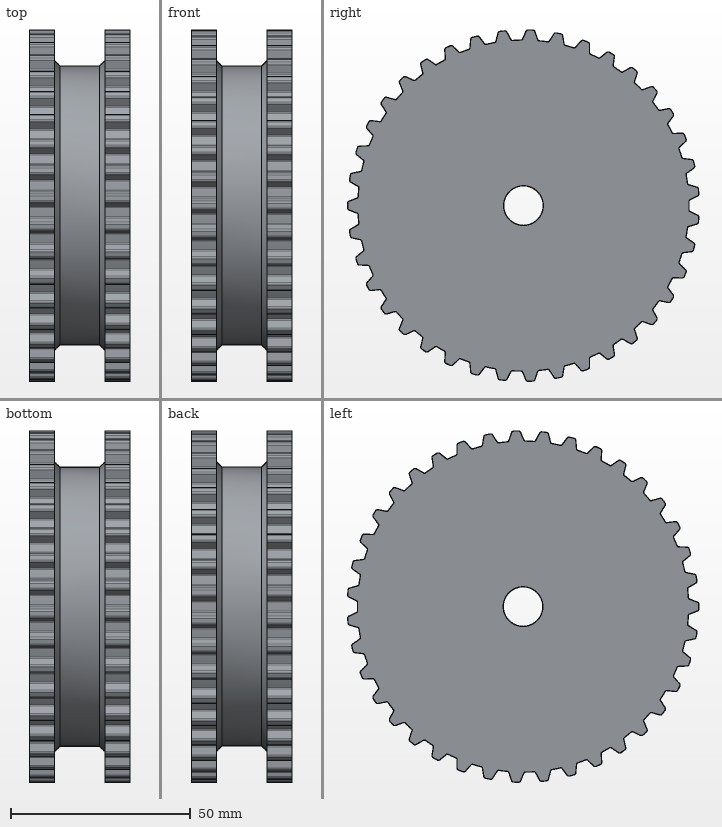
import cadquery as cq
import math

tooth_count = 39
tip_radius = 48.95
tooth_height = 2.8
mid_tooth_width = 3.3
groove_angle = 52.0
tip_fillet = 0.7
root_fillet = 0.4

total_width = 28.0
hub_radius = 38.9
hub_flare = 1.5
bore_diameter = 11.0

rim_width = total_width / 4
gap_width = total_width - 2 * rim_width
root_radius = tip_radius - tooth_height
pitch_angle = 360 / tooth_count
flank_angle = math.radians((groove_angle - pitch_angle) / 2)
flank_slope = math.tan(flank_angle)
first_tooth_angle = 180.0


def tooth_half_width(radius):
    """Half the width of a sharp-cornered tooth at a distance from the axis."""
    mid_radius = tip_radius - tooth_height / 2
    return mid_tooth_width / 2 + (mid_radius - radius) * flank_slope


def flank_point(radius, tooth_angle, side):
    """Corner of a tooth on the given radius; side is -1 or +1."""
    angle = math.radians(tooth_angle) + side * math.asin(tooth_half_width(radius) / radius)
    return (radius * math.cos(angle), radius * math.sin(angle))


def arc_point(radius, angle):
    """Point on a circle about the axis, with the angle in degrees."""
    return (radius * math.cos(math.radians(angle)), radius * math.sin(math.radians(angle)))


def edges_on_radius(body, radius):
    """Edges along X whose distance from the axis is the given radius."""
    tolerance = 0.01
    return [
        edge for edge in body.edges("|X").vals()
        if abs(math.hypot(edge.Center().y, edge.Center().z) - radius) < tolerance
    ]


def toothed_rim():
    """One toothed disc, starting at X = 0 and running toward +X."""
    outline = cq.Workplane("YZ").moveTo(*flank_point(root_radius, first_tooth_angle, -1))
    for index in range(tooth_count):
        angle = first_tooth_angle + index * pitch_angle
        next_angle = angle + pitch_angle
        outline = (
            outline
            .lineTo(*flank_point(tip_radius, angle, -1))
            .threePointArc(arc_point(tip_radius, angle), flank_point(tip_radius, angle, 1))
            .lineTo(*flank_point(root_radius, angle, 1))
            .threePointArc(
                arc_point(root_radius, angle + pitch_angle / 2),
                flank_point(root_radius, next_angle, -1),
            )
        )
    rim = outline.close().extrude(rim_width)
    rim = rim.newObject(edges_on_radius(rim, tip_radius)).fillet(tip_fillet)
    return rim.newObject(edges_on_radius(rim, root_radius)).fillet(root_fillet)


def hub():
    """Drum between the rims, flared by a 45 degree cone at each end."""
    half_gap = gap_width / 2
    flare_radius = hub_radius + hub_flare
    half_profile = [
        (-half_gap, 0),
        (-half_gap, flare_radius),
        (-half_gap + hub_flare, hub_radius),
        (half_gap - hub_flare, hub_radius),
        (half_gap, flare_radius),
        (half_gap, 0),
    ]
    return cq.Workplane("XZ").polyline(half_profile).close().revolve(360, (0, 0, 0), (1, 0, 0))


def bore():
    """Through hole along the axis."""
    return cq.Workplane("YZ").circle(bore_diameter / 2).extrude(total_width / 2, both=True)


single_rim = toothed_rim()
left_rim = single_rim.translate((-total_width / 2, 0, 0))
right_rim = single_rim.translate((gap_width / 2, 0, 0))
result = hub().union(left_rim).union(right_rim).cut(bore())